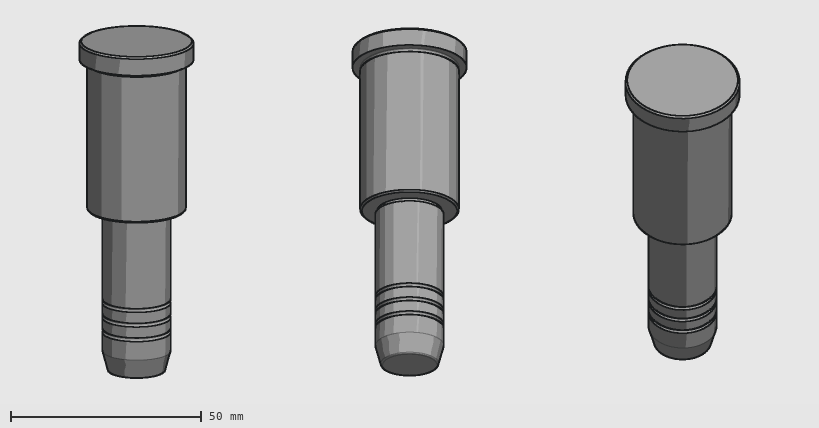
import cadquery as cq
import math

total_length = 90.0
head_thickness = 5.0
body_length = 41.0
head_bottom = total_length - head_thickness
body_bottom = head_bottom - body_length

head_radius = 15.0
body_radius = 13.0
pilot_radius = 9.0

edge_chamfer = 0.5

nose_height = 5.5
nose_angle = math.radians(15)
tip_radius = pilot_radius - nose_height * math.tan(nose_angle)
tip_fillet = 0.5

neck_radius = 8.5
neck_length = 1.0

groove_radius = 0.5
ring_count = 3
ring_pitch = 4.0
lowest_ring_height = 11.0


def revolve_about_z(outline):
    return outline.close().revolve(360, (0, 0, 0), (0, 1, 0))


def make_blank():
    """Turned pin: headed, stepped, with a tapered nose."""
    profile = [
        (0, 0),
        (tip_radius, 0),
        (pilot_radius, nose_height),
        (pilot_radius, body_bottom - neck_length),
        (neck_radius, body_bottom - neck_length),
        (neck_radius, body_bottom),
        (body_radius - edge_chamfer, body_bottom),
        (body_radius, body_bottom + edge_chamfer),
        (body_radius, head_bottom),
        (head_radius, head_bottom),
        (head_radius, total_length - edge_chamfer),
        (head_radius - edge_chamfer, total_length),
        (0, total_length),
    ]
    return revolve_about_z(cq.Workplane("XZ").polyline(profile))


def make_round_groove(cylinder_radius, mid_height):
    """Half-round ring centred on the surface of a cylinder."""
    outline = (
        cq.Workplane("XZ")
        .moveTo(cylinder_radius, mid_height + groove_radius)
        .threePointArc(
            (cylinder_radius - groove_radius, mid_height),
            (cylinder_radius, mid_height - groove_radius),
        )
    )
    return revolve_about_z(outline)


result = make_blank().faces("<Z").edges().fillet(tip_fillet)
result = result.cut(make_round_groove(body_radius, head_bottom - groove_radius))
for index in range(ring_count):
    ring_height = lowest_ring_height + index * ring_pitch
    result = result.cut(make_round_groove(pilot_radius, ring_height))